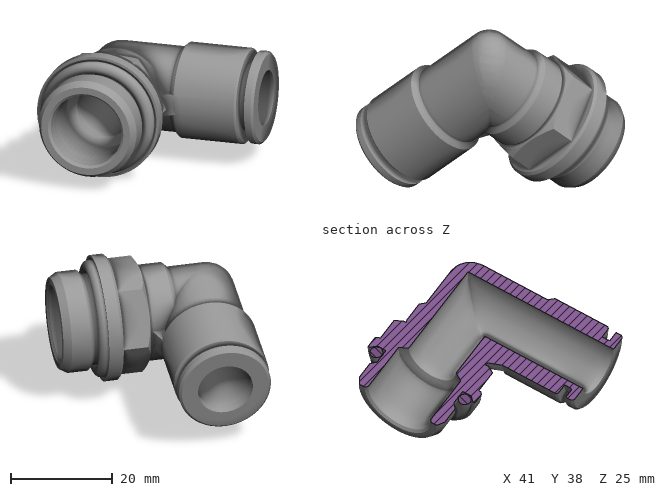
import cadquery as cq
import math


elbow_radius = 8.5
corner_fillet = 4.6
mitre_pillar_width = 0.12
sleeve_radius = 9.5
shoulder_height = sleeve_radius - elbow_radius

socket_shoulder_at = 11.15
socket_shoulder_length = 1.1
socket_end_at = 25.0
socket_chamfer = 0.35

collar_neck_radius = 6.85
collar_flare_height = 0.15
collar_flare_at = 26.35
collar_rim_at = 26.7
collar_rim_radius = 9.22
collar_chamfer = 0.5
arm_end_at = 28.5

sleeve_shoulder_at = 5.05
sleeve_end_at = 10.6
stem_neck_radius = 9.22

hex_top_at = 11.1
hex_across_flats = 20.0
hex_chamfer_angle = 30

flange_top_at = 17.0
flange_bottom_at = 20.0
flange_radius = 12.5
flange_chamfer = 0.5
seat_mouth_radius = 12.0

plug_neck_radius = 9.0
plug_radius = hex_across_flats / 2
plug_cone_at = 22.15
plug_tip_at = 26.98
stem_end_at = 28.5
plug_tip_radius = 9.1

ring_section_radius = 1.3
ring_center_radius = plug_neck_radius + ring_section_radius
ring_center_at = 20.3

bore_radius = 5.5
stem_bore_radius = 7.25
stem_bore_end_at = flange_top_at
stem_bore_chamfer = 0.5
drill_half_angle = 59

web_thickness = 4.0
web_heel_at = 9.4
web_tip_at = 13.2
web_tip_drop = 9.1


def turned_arm(profile):
    """Revolve (distance along +X, radius) points around the X axis."""
    return cq.Workplane("XZ").polyline(profile).close().revolve(360, (0, 0, 0), (1, 0, 0))


def turned_stem(profile):
    """Revolve (distance along -Y, radius) points around the Y axis."""
    outline = [(-distance, radius) for distance, radius in profile]
    return cq.Workplane("YZ").polyline(outline).close().revolve(360, (0, 0, 0), (1, 0, 0))


def bar(end, radius, start=0):
    """Profile of a plain cylinder between two distances along its axis."""
    return [(start, 0), (end, 0), (end, radius), (start, radius)]


def mitred_pipe(radius, arm_length, stem_length):
    """Two equal cylinders that meet in a sharp mitre at the origin."""
    arm = turned_arm(bar(arm_length, radius, -radius))
    stem = turned_stem(bar(stem_length, radius, -radius))
    reach = 2 * max(arm_length, stem_length)
    arm_side = (
        cq.Workplane("XY")
        .polyline([(-reach, reach), (reach, reach), (reach, -reach)])
        .close()
        .extrude(2 * radius, both=True)
    )
    return arm.intersect(arm_side).union(stem.cut(arm_side))


def mitre_pillar(height):
    """Thin square pillar in the outer quadrant, with one edge on the vertical line at the origin."""
    return cq.Workplane("XY").box(mitre_pillar_width, mitre_pillar_width, height).translate(
        (-mitre_pillar_width / 2, mitre_pillar_width / 2, 0)
    )


def elbow():
    """Mitred pipe whose outer corner is rounded by a ball that rolls along the mitre.

    The mitre edge fades out at the two points above and below the origin, where a fillet
    cannot end. A thin pillar there is cut out for the fillet and filled in again.
    """
    pipe = mitred_pipe(elbow_radius, socket_shoulder_at, sleeve_end_at)
    outer_corner = cq.selectors.BoxSelector(
        (-2 * elbow_radius, 0, -elbow_radius), (0, 2 * elbow_radius, elbow_radius)
    )
    rounded = (
        pipe.cut(mitre_pillar(3 * elbow_radius))
        .edges(outer_corner)
        .edges("%ELLIPSE")
        .fillet(corner_fillet)
    )
    return rounded.union(mitre_pillar(2 * math.sqrt(elbow_radius**2 - mitre_pillar_width**2)))


def arm_socket():
    return turned_arm([
        (socket_shoulder_at, 0),
        (socket_shoulder_at, elbow_radius),
        (socket_shoulder_at + socket_shoulder_length, sleeve_radius),
        (socket_end_at - socket_chamfer, sleeve_radius),
        (socket_end_at, sleeve_radius - socket_chamfer),
        (socket_end_at, 0),
    ])


def release_collar():
    return turned_arm([
        (socket_end_at, 0),
        (socket_end_at, collar_neck_radius),
        (collar_flare_at, collar_neck_radius),
        (collar_rim_at, collar_neck_radius + collar_flare_height),
        (collar_rim_at, collar_rim_radius),
        (arm_end_at - collar_chamfer, collar_rim_radius),
        (arm_end_at, collar_rim_radius - collar_chamfer),
        (arm_end_at, 0),
    ])


def stem_sleeve():
    return turned_stem([
        (sleeve_shoulder_at, 0),
        (sleeve_shoulder_at, elbow_radius),
        (sleeve_shoulder_at + shoulder_height, sleeve_radius),
        (sleeve_end_at, sleeve_radius),
        (hex_top_at, stem_neck_radius),
        (hex_top_at, 0),
    ])


def corner_web():
    outline = [
        (0, 0),
        (0, -sleeve_end_at),
        (web_heel_at, -sleeve_end_at),
        (web_tip_at, -web_tip_drop),
        (web_tip_at, 0),
    ]
    return cq.Workplane("XY").polyline(outline).close().extrude(web_thickness / 2, both=True)


def hexagon():
    """Hexagon with two flats facing +Z and -Z and its upper corners turned to a cone."""
    corner_radius = hex_across_flats / 2 / math.cos(math.radians(30))
    prism = (
        cq.Workplane("XZ", origin=(0, -hex_top_at, 0))
        .polygon(6, 2 * corner_radius)
        .extrude(flange_top_at - hex_top_at)
    )
    cone_depth = flange_top_at - hex_top_at
    cone_growth = cone_depth / math.tan(math.radians(hex_chamfer_angle))
    cone = turned_stem([
        (hex_top_at, 0),
        (hex_top_at, hex_across_flats / 2),
        (flange_top_at, hex_across_flats / 2 + cone_growth),
        (flange_top_at, 0),
    ])
    return prism.intersect(cone)


def flange_and_plug():
    seat_floor_at = ring_center_at - ring_section_radius
    seat_depth = flange_bottom_at - seat_floor_at
    return turned_stem([
        (flange_top_at, 0),
        (flange_top_at, flange_radius - flange_chamfer),
        (flange_top_at + flange_chamfer, flange_radius),
        (flange_bottom_at, flange_radius),
        (flange_bottom_at, seat_mouth_radius),
        (seat_floor_at, seat_mouth_radius - seat_depth),
        (seat_floor_at, plug_neck_radius),
        (plug_cone_at, plug_neck_radius),
        (plug_cone_at + plug_radius - plug_neck_radius, plug_radius),
        (plug_tip_at, plug_radius),
        (stem_end_at, plug_tip_radius),
        (stem_end_at, 0),
    ])


def stem_bore():
    cone_length = (stem_bore_radius - bore_radius) / math.tan(math.radians(drill_half_angle))
    return turned_stem([
        (stem_bore_end_at - cone_length, 0),
        (stem_bore_end_at - cone_length, bore_radius),
        (stem_bore_end_at, stem_bore_radius),
        (stem_end_at - stem_bore_chamfer, stem_bore_radius),
        (stem_end_at, stem_bore_radius + stem_bore_chamfer),
        (stem_end_at, 0),
    ])


def make_fitting():
    outside = elbow()
    for section in (
        arm_socket(), release_collar(), stem_sleeve(), corner_web(), hexagon(), flange_and_plug()
    ):
        outside = outside.union(section)
    passage = mitred_pipe(bore_radius, arm_end_at, stem_end_at)
    return outside.cut(passage).cut(stem_bore())


def make_sealing_ring():
    return (
        cq.Workplane("YZ")
        .center(-ring_center_at, ring_center_radius)
        .circle(ring_section_radius)
        .revolve(360, (0, -ring_center_radius, 0), (1, -ring_center_radius, 0))
    )


fitting = make_fitting()
sealing_ring = make_sealing_ring()

result = cq.Compound.makeCompound([fitting.val(), sealing_ring.val()])